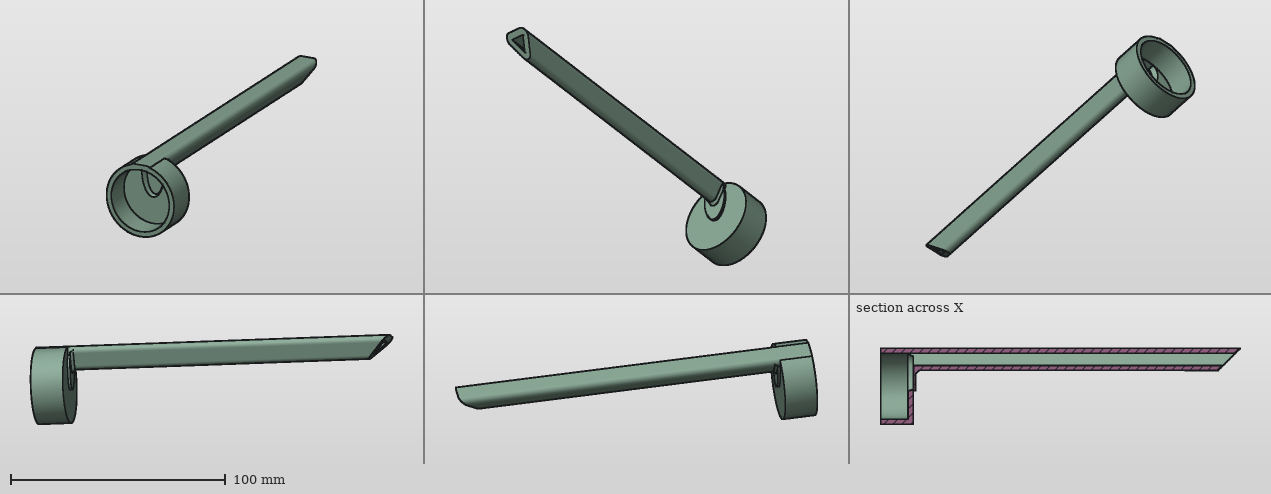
import cadquery as cq
import math

total_length = 167.6
total_height = 35.5

cup_radius = total_height / 2
cup_bore_radius = 30.5 / 2
cup_length = 15.3
cup_floor = 2.5
cup_depth = cup_length - cup_floor

channel_side = 6.4
channel_height = channel_side * math.sqrt(3) / 2
tube_wall = 2.5
tube_top = cup_radius
channel_top = tube_top - tube_wall
tube_height = channel_height + 2 * tube_wall

drain_center = 10.0
drain_half_width = 5.9
drain_drop = 12.2
drain_taper = 1.3
drain_bottom_taper = 0.7
drain_depth = cup_floor
cover_thickness = 1.2

collar_size = 1.5


def along_y(y):
    """Sketch plane at the given Y whose solids grow toward +Y; local x is -X."""
    return cq.Workplane(cq.Plane(origin=(0, y, 0), xDir=(-1, 0, 0), normal=(0, 1, 0)))


def channel_outline(y):
    half = channel_side / 2
    return along_y(y).polyline([
        (-half, channel_top),
        (half, channel_top),
        (0, channel_top - channel_height),
    ]).close()


def make_tube():
    tube = channel_outline(0).offset2D(tube_wall, "arc").extrude(total_length)
    tip_cut = (
        cq.Workplane("YZ")
        .polyline([
            (total_length, tube_top),
            (total_length, tube_top - tube_height),
            (total_length - tube_height, tube_top - tube_height),
        ])
        .close()
        .extrude(cup_radius, both=True)
    )
    return tube.cut(tip_cut)


def egg(plane, half_width, drop):
    """Closed outline: a half circle above the drain center, a half ellipse below it."""
    return (
        plane.center(0, drain_center)
        .moveTo(half_width, 0)
        .threePointArc((0, half_width), (-half_width, 0))
        .ellipseArc(half_width, drop, 180, 360, startAtCurrent=True)
        .close()
    )


def make_drain():
    """Funnel that narrows from the cup floor toward the tube, kept inside the bore circle."""
    mouth = egg(along_y(cup_depth), drain_half_width, drain_drop).wires().val()
    throat_half_width = drain_half_width - drain_taper
    throat_drop = drain_drop - drain_bottom_taper
    throat = egg(along_y(cup_depth + drain_depth), throat_half_width, throat_drop).wires().val()
    funnel = cq.Workplane(cq.Solid.makeLoft([mouth, throat], True))
    return funnel.intersect(along_y(0).circle(cup_bore_radius).extrude(cup_length))


def make_drain_cover():
    """Egg-shaped pad on the back of the cup that closes the funnel."""
    pad = egg(along_y(cup_length), drain_half_width, drain_drop).extrude(cover_thickness)
    return pad.intersect(along_y(0).circle(cup_bore_radius).extrude(total_length))


def make_collar():
    """Tube outline swept upward at 45 degrees, from below the tube to flush with it."""
    start_y = cup_length + cover_thickness
    upper = channel_outline(start_y + collar_size).offset2D(tube_wall, "arc").wires().val()
    lower = upper.translate(cq.Vector(0, -collar_size, -collar_size))
    return cq.Workplane(cq.Solid.makeLoft([lower, upper], True))


cup = along_y(0).circle(cup_radius).extrude(cup_length)
cup_bore = along_y(0).circle(cup_bore_radius).extrude(cup_depth)
channel = channel_outline(cup_depth).extrude(total_length)

result = cup.union(make_tube()).union(make_drain_cover()).union(make_collar())
result = result.cut(cup_bore).cut(make_drain()).cut(channel).clean()